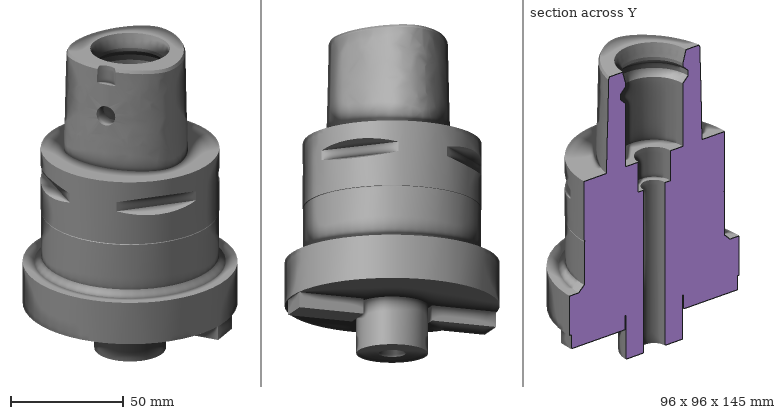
import math

import cadquery as cq

PILOT_LENGTH = 22.0
FLANGE_HEIGHT = 20.0
COLLAR_HEIGHT = 3.0
BODY_TOP = 97.0
SHANK_HEIGHT = 48.0
UPPER_BODY_HEIGHT = 30.0
FLANGE_TOP = PILOT_LENGTH + FLANGE_HEIGHT
COLLAR_TOP = FLANGE_TOP + COLLAR_HEIGHT
UPPER_BODY_BOTTOM = BODY_TOP - UPPER_BODY_HEIGHT
SHANK_TOP = BODY_TOP + SHANK_HEIGHT

PILOT_RADIUS = 16.0
FLANGE_RADIUS = 48.0
UPPER_BODY_RADIUS = 39.9
LOWER_BODY_RADIUS = 39.75
JOINT_CHAMFER = 0.4
COLLAR_RADIUS = LOWER_BODY_RADIUS + COLLAR_HEIGHT

SHANK_BASE_RADIUS = 27.75
LOBE_ECCENTRICITY = 1.9
SHANK_TAPER = 1 / 40
SHANK_CHAMFER_HEIGHT = 1.4
SHANK_CHAMFER_WIDTH = 0.7
LOBE_CURVE_POINTS = 48

MOUTH_RADIUS = 17.8
BORE_RADIUS = 16.0
GROOVE_RADIUS = 19.0
MOUTH_DEPTH = 6.5
GROOVE_START = 8.0
GROOVE_WIDTH = 2.5
BORE_DEPTH = SHANK_HEIGHT
GROOVE_FLANK = GROOVE_RADIUS - BORE_RADIUS

COUNTERBORE_RADIUS = 9.0
COUNTERBORE_DEPTH = 15.0
THROUGH_RADIUS = 6.0

KEYWAY_RADIUS = 5.6
KEYWAY_INNER_Y = -22.2
KEYWAY_HEIGHT = 8.0
SIDE_HOLE_RADIUS = 4.6
SIDE_HOLE_DROP = 23.0
SIDE_HOLE_FLOOR_Y = -18.0

NOTCH_FLOOR_DISTANCE = 35.2
NOTCH_FLOOR_HEIGHT = 4.4
NOTCH_FLARE = 2.2
NOTCH_MID_Z = BODY_TOP - 12.0
NOTCH_ANGLES = (45, 135, 225, 315)

KEY_WIDTH = 14.4
KEY_HEIGHT = 7.0
KEY_INNER = 16.4
KEY_OUTER = 47.0


def turned(profile):
    """Revolve an (r, z) outline about the Z axis."""
    return cq.Workplane("XZ").polyline(profile).close().revolve(360, (0, 0), (0, 1))


def make_body():
    return turned([
        (0, 0),
        (PILOT_RADIUS, 0),
        (PILOT_RADIUS, PILOT_LENGTH),
        (FLANGE_RADIUS, PILOT_LENGTH),
        (FLANGE_RADIUS, FLANGE_TOP),
        (COLLAR_RADIUS, FLANGE_TOP),
        (LOWER_BODY_RADIUS, COLLAR_TOP),
        (LOWER_BODY_RADIUS, UPPER_BODY_BOTTOM - JOINT_CHAMFER),
        (LOWER_BODY_RADIUS - JOINT_CHAMFER, UPPER_BODY_BOTTOM),
        (UPPER_BODY_RADIUS, UPPER_BODY_BOTTOM),
        (UPPER_BODY_RADIUS, BODY_TOP),
        (0, BODY_TOP),
    ])


def lobe_wire(mean_radius, z):
    """Constant-width three-lobed curve with one lobe pointing to +Y."""
    points = []
    for i in range(LOBE_CURVE_POINTS):
        angle = 2 * math.pi * i / LOBE_CURVE_POINTS
        reach = mean_radius - LOBE_ECCENTRICITY * math.sin(3 * angle)
        slope = -3 * LOBE_ECCENTRICITY * math.cos(3 * angle)
        x = reach * math.cos(angle) - slope * math.sin(angle)
        y = reach * math.sin(angle) + slope * math.cos(angle)
        points.append(cq.Vector(x, y, z))
    return cq.Wire.assembleEdges([cq.Edge.makeSpline(points, periodic=True)])


def make_shank():
    chamfer_start = SHANK_TOP - SHANK_CHAMFER_HEIGHT
    chamfer_radius = SHANK_BASE_RADIUS - SHANK_TAPER * (chamfer_start - BODY_TOP)
    base = lobe_wire(SHANK_BASE_RADIUS, BODY_TOP)
    shoulder = lobe_wire(chamfer_radius, chamfer_start)
    tip = lobe_wire(chamfer_radius - SHANK_CHAMFER_WIDTH, SHANK_TOP)
    taper = cq.Solid.makeLoft([base, shoulder], True)
    chamfer = cq.Solid.makeLoft([shoulder, tip], True)
    return cq.Workplane(taper).union(cq.Workplane(chamfer))


def make_bore():
    groove_full = GROOVE_START + GROOVE_FLANK
    groove_end = groove_full + GROOVE_WIDTH
    bore_floor = SHANK_TOP - BORE_DEPTH
    counterbore_floor = bore_floor - COUNTERBORE_DEPTH
    return turned([
        (0, SHANK_TOP),
        (MOUTH_RADIUS, SHANK_TOP),
        (BORE_RADIUS, SHANK_TOP - MOUTH_DEPTH),
        (BORE_RADIUS, SHANK_TOP - GROOVE_START),
        (GROOVE_RADIUS, SHANK_TOP - groove_full),
        (GROOVE_RADIUS, SHANK_TOP - groove_end),
        (BORE_RADIUS, SHANK_TOP - groove_end - GROOVE_FLANK),
        (BORE_RADIUS, bore_floor),
        (COUNTERBORE_RADIUS, bore_floor),
        (COUNTERBORE_RADIUS, counterbore_floor),
        (THROUGH_RADIUS, counterbore_floor),
        (THROUGH_RADIUS, 0),
        (0, 0),
    ])


def make_keyway():
    return (
        cq.Workplane("XY", origin=(0, KEYWAY_INNER_Y - KEYWAY_RADIUS, SHANK_TOP - KEYWAY_HEIGHT))
        .circle(KEYWAY_RADIUS)
        .extrude(KEYWAY_HEIGHT)
    )


def make_side_hole():
    return (
        cq.Workplane("XZ", origin=(0, SIDE_HOLE_FLOOR_Y, SHANK_TOP - SIDE_HOLE_DROP))
        .circle(SIDE_HOLE_RADIUS)
        .extrude(SHANK_BASE_RADIUS + SIDE_HOLE_FLOOR_Y)
    )


def make_notch(angle):
    """Flared straight groove cut across the round body, square to the given direction."""
    half_floor = NOTCH_FLOOR_HEIGHT / 2
    half_mouth = half_floor + NOTCH_FLARE
    section = [
        (NOTCH_FLOOR_DISTANCE, -half_floor),
        (UPPER_BODY_RADIUS, -half_mouth),
        (UPPER_BODY_RADIUS, half_mouth),
        (NOTCH_FLOOR_DISTANCE, half_floor),
    ]
    return (
        cq.Workplane("XZ", origin=(0, 0, NOTCH_MID_Z))
        .polyline(section)
        .close()
        .extrude(UPPER_BODY_RADIUS, both=True)
        .rotate((0, 0, 0), (0, 0, 1), angle)
    )


def make_key(side):
    length = KEY_OUTER - KEY_INNER
    middle_x = side * (KEY_INNER + KEY_OUTER) / 2
    return (
        cq.Workplane("XY", origin=(middle_x, 0, PILOT_LENGTH - KEY_HEIGHT))
        .rect(length, KEY_WIDTH)
        .extrude(KEY_HEIGHT)
    )


result = make_body().union(make_shank())
for side in (-1, 1):
    result = result.union(make_key(side))
for angle in NOTCH_ANGLES:
    result = result.cut(make_notch(angle))
result = result.cut(make_bore()).cut(make_keyway()).cut(make_side_hole())